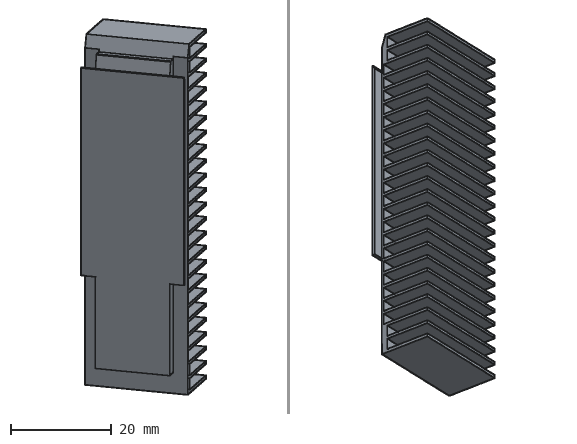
import cadquery as cq

WIDTH = 21.5
DEPTH = 14.0
HEIGHT = 72.65

BASE_DEPTH = 11.55
FIN_COUNT = 25
FIN_THICKNESS = 0.65
END_FIN_THICKNESS = 0.7
FIN_LENGTH = 11.05
END_FIN_LENGTH = 10.2
END_GAP_COUNT = 2
BASE_BEVEL_DEPTH = 0.9
BASE_BEVEL_HEIGHT = 2.6

BLOCK_WIDTH = 15.55
BLOCK_BOTTOM = 4.4
BLOCK_TOP = 69.5
BLOCK_BEVEL_DEPTH = 0.7
BLOCK_BEVEL_HEIGHT = 3.5
BLOCK_EDGE_BREAK = 0.15

PLATE_THICKNESS = 0.65
PLATE_BOTTOM = 23.5
PLATE_TOP = 66.7
PLATE_TOP_SLOPE = 0.8
PLATE_EDGE_BREAK = 0.15

fin_tips = DEPTH / 2
base_front = fin_tips - BASE_DEPTH
front = -DEPTH / 2

gap_count = FIN_COUNT - 1
gap_height = (HEIGHT - 2 * END_FIN_THICKNESS - (FIN_COUNT - 2) * FIN_THICKNESS) / gap_count
fin_pitch = gap_height + FIN_THICKNESS

bevel_bottom = HEIGHT - BASE_BEVEL_HEIGHT
bevel_reach = (bevel_bottom - BLOCK_TOP) * BASE_BEVEL_DEPTH / BASE_BEVEL_HEIGHT


def extrude_side_profile(points, width):
    """Extrude a closed (Y, Z) outline along X, centred on X = 0."""
    return cq.Workplane("YZ").polyline(points).close().extrude(width / 2, both=True)


def make_base():
    return extrude_side_profile(
        [
            (fin_tips, 0),
            (fin_tips, HEIGHT),
            (base_front + BASE_BEVEL_DEPTH, HEIGHT),
            (base_front, bevel_bottom),
            (base_front, 0),
        ],
        WIDTH,
    )


def cut_fin_gaps(body):
    for index in range(gap_count):
        near_end = index < END_GAP_COUNT or index >= gap_count - END_GAP_COUNT
        gap_depth = END_FIN_LENGTH if near_end else FIN_LENGTH
        gap_bottom = END_FIN_THICKNESS + index * fin_pitch
        gap = cq.Workplane("XY").box(WIDTH, gap_depth, gap_height, centered=(True, False, False))
        body = body.cut(gap.translate((0, fin_tips - gap_depth, gap_bottom)))
    return body


def make_block():
    """Block whose back upper edge continues the bevel of the base."""
    bevel_top = BLOCK_TOP - BLOCK_EDGE_BREAK
    bevel_back = front + BLOCK_BEVEL_DEPTH
    return extrude_side_profile(
        [
            (base_front, BLOCK_BOTTOM),
            (base_front, bevel_bottom),
            (base_front - bevel_reach, BLOCK_TOP),
            (bevel_back + BLOCK_EDGE_BREAK, BLOCK_TOP),
            (bevel_back, bevel_top),
            (front, bevel_top - BLOCK_BEVEL_HEIGHT),
            (front, BLOCK_BOTTOM),
        ],
        BLOCK_WIDTH,
    )


def make_plate():
    plate_back = front + PLATE_THICKNESS
    return extrude_side_profile(
        [
            (front, PLATE_BOTTOM),
            (front, PLATE_TOP - PLATE_EDGE_BREAK),
            (front + PLATE_EDGE_BREAK, PLATE_TOP),
            (plate_back, PLATE_TOP - PLATE_TOP_SLOPE),
            (plate_back, PLATE_BOTTOM),
        ],
        WIDTH,
    )


result = cut_fin_gaps(make_base()).union(make_block()).union(make_plate())